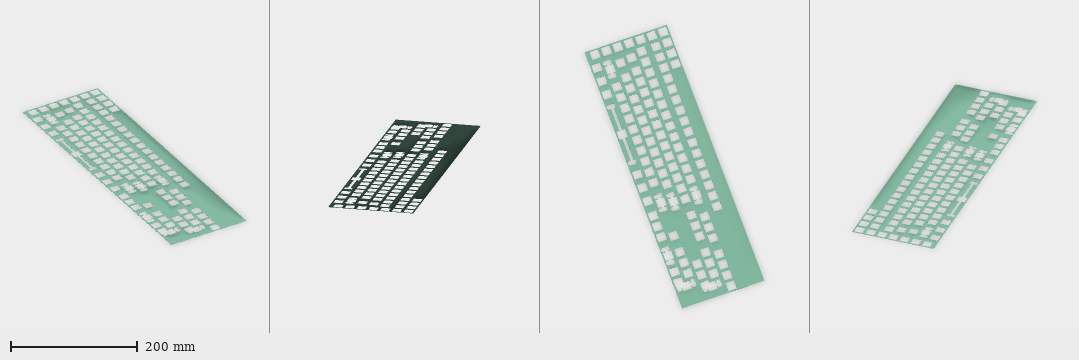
import cadquery as cq

KEY_UNIT = 19.05
PLATE_COLUMNS = 24
PLATE_ROWS = 7.25
PLATE_LENGTH = PLATE_COLUMNS * KEY_UNIT
PLATE_WIDTH = PLATE_ROWS * KEY_UNIT
PLATE_THICKNESS = 0.2

SWITCH_SIZE = 14.0

WIDE_KEY_REACH = 11.9
SPACE_BAR_REACH = 50.0
HOUSING_HALF_WIDTH = 3.375
HOUSING_TOP = 5.53
HOUSING_BOTTOM = -6.77
TAIL_HALF_WIDTH = 1.65
TAIL_BOTTOM = -7.97
EAR_OUTER = 4.2
EAR_TOP = 2.3
EAR_BOTTOM = -0.5
CHANNEL_HALF_HEIGHT = 2.3

TOP_ROW = 0.5
FUNCTION_ROW = 1.5
NUMBER_ROW = 2.75
UPPER_LETTER_ROW = 3.75
HOME_ROW = 4.75
LOWER_LETTER_ROW = 5.75
SPACE_ROW = 6.75

LEFT_COLUMN = 0.5
LEFT_COLUMN_KEYS = 7

SWITCH_RUNS = [
    (TOP_ROW, 1.5, 3),
    (FUNCTION_ROW, 1.5, 16),
    (NUMBER_ROW, 1.5, 13),
    (NUMBER_ROW, 17, 3),
    (NUMBER_ROW, 20.5, 4),
    (UPPER_LETTER_ROW, 1.75, 1),
    (UPPER_LETTER_ROW, 3, 13),
    (UPPER_LETTER_ROW, 16.5, 3),
    (UPPER_LETTER_ROW, 20, 3),
    (HOME_ROW, 1.875, 1),
    (HOME_ROW, 3.25, 11),
    (HOME_ROW, 20.75, 3),
    (LOWER_LETTER_ROW, 3.75, 10),
    (LOWER_LETTER_ROW, 17.75, 1),
    (LOWER_LETTER_ROW, 19.25, 3),
    (SPACE_ROW, 1.625, 1),
    (SPACE_ROW, 2.875, 1),
    (SPACE_ROW, 4.125, 1),
    (SPACE_ROW, 11.625, 1),
    (SPACE_ROW, 12.875, 1),
    (SPACE_ROW, 14.125, 1),
    (SPACE_ROW, 15.5, 3),
    (SPACE_ROW, 20.75, 2),
]

STABILIZED_KEYS = [
    (NUMBER_ROW, 15, WIDE_KEY_REACH, 0),
    (HOME_ROW, 14.875, WIDE_KEY_REACH, 0),
    (LOWER_LETTER_ROW, 2.125, WIDE_KEY_REACH, 0),
    (LOWER_LETTER_ROW, 14.625, WIDE_KEY_REACH, 0),
    (SPACE_ROW, 7.875, SPACE_BAR_REACH, 0),
    (SPACE_ROW, 19.25, WIDE_KEY_REACH, 0),
    ((UPPER_LETTER_ROW + HOME_ROW) / 2, 23, WIDE_KEY_REACH, -90),
    ((LOWER_LETTER_ROW + SPACE_ROW) / 2, 22.25, WIDE_KEY_REACH, -90),
]


def grid_point(row, column):
    """Plate position of a key centre, with the plate centred on the origin."""
    return (column * KEY_UNIT - PLATE_LENGTH / 2, PLATE_WIDTH / 2 - row * KEY_UNIT)


def block(left, right, bottom, top):
    """Cutting block through the plate thickness."""
    solid = cq.Workplane("XY").box(right - left, top - bottom, PLATE_THICKNESS, centered=False)
    return solid.translate((left, bottom, 0))


def switch_points():
    """Centres of all the single switch openings."""
    points = [grid_point(LEFT_COLUMN + index, LEFT_COLUMN) for index in range(LEFT_COLUMN_KEYS)]
    for row, first_column, count in SWITCH_RUNS:
        points += [grid_point(row, first_column + index) for index in range(count)]
    return points


def stabilized_cutter(reach):
    """Switch opening with a wire channel to a stabilizer opening on either side."""
    half_switch = SWITCH_SIZE / 2
    ear_end = reach + EAR_OUTER
    cutter = block(-half_switch, half_switch, -half_switch, half_switch)
    cutter = cutter.union(block(-reach, reach, -CHANNEL_HALF_HEIGHT, CHANNEL_HALF_HEIGHT))
    for centre in (-reach, reach):
        housing = block(
            centre - HOUSING_HALF_WIDTH, centre + HOUSING_HALF_WIDTH, HOUSING_BOTTOM, HOUSING_TOP
        )
        tail = block(centre - TAIL_HALF_WIDTH, centre + TAIL_HALF_WIDTH, TAIL_BOTTOM, HOUSING_TOP)
        cutter = cutter.union(housing).union(tail)
    return cutter.union(block(-ear_end, ear_end, EAR_BOTTOM, EAR_TOP))


plate = cq.Workplane("XY").box(
    PLATE_LENGTH, PLATE_WIDTH, PLATE_THICKNESS, centered=(True, True, False)
)

switch_openings = (
    cq.Workplane("XY")
    .pushPoints(switch_points())
    .rect(SWITCH_SIZE, SWITCH_SIZE)
    .extrude(PLATE_THICKNESS)
)
plate = plate.cut(switch_openings)

for row, column, reach, turn in STABILIZED_KEYS:
    x, y = grid_point(row, column)
    cutter = stabilized_cutter(reach).rotate((0, 0, 0), (0, 0, 1), turn).translate((x, y, 0))
    plate = plate.cut(cutter)

largest_solid = max(plate.solids().vals(), key=lambda solid: solid.Volume())
result = cq.Workplane("XY").newObject([largest_solid])